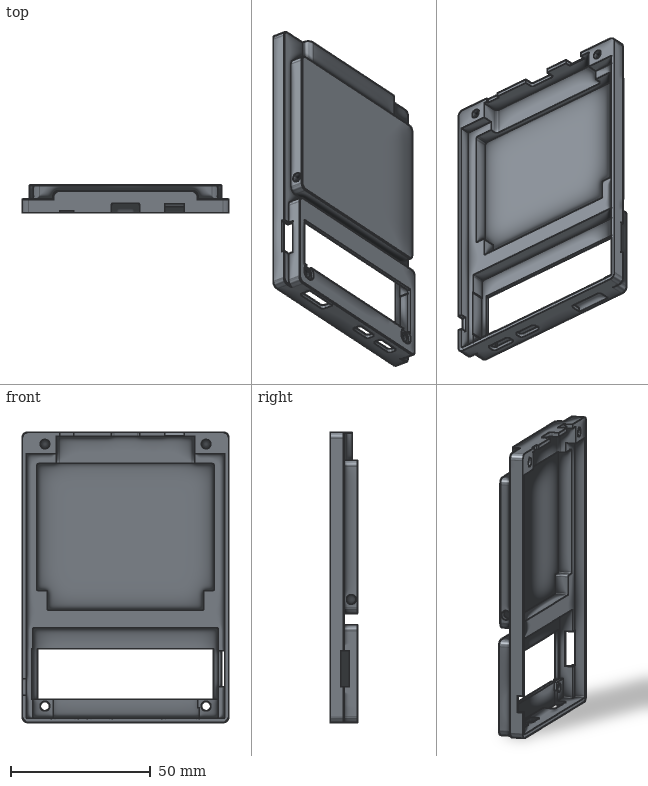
import cadquery as cq

WIDTH = 74.0
HEIGHT = 104.0
PLATE_DEPTH = 5.0
BOX_DEPTH = 10.0
BRIDGE_DEPTH = 8.0
RIM = 1.5
SKIN = 1.2
TRAY_RADIUS = 2.1
INNER_RADIUS = 1.0
OUTER_RADIUS = INNER_RADIUS + SKIN
SMALL_RADIUS = 0.5
EDGE_BREAK = 0.3
OVERLAP = 1.0

TRAY_FLOOR = PLATE_DEPTH - SKIN
BOX_FLOOR = BOX_DEPTH - SKIN
BRIDGE_FLOOR = BRIDGE_DEPTH - SKIN

UPPER_HALF_WIDTH = 31.8
UPPER_FOOT_HALF_WIDTH = 28.0
UPPER_TOP = 92.8
UPPER_STEP = 47.3
UPPER_BOTTOM = 40.25

LOWER_HALF_WIDTH = 33.2
LOWER_TOP = 33.9

CHANNEL_HALF_WIDTH = 24.8
CORNER_BLOCK_HEIGHT = 7.7

WINDOW_HALF_WIDTH = 31.45
WINDOW_BOTTOM = 8.4
WINDOW_TOP = 26.4
WINDOW_SIDE_RELIEF = 0.3

SCREW_DIAMETER = 3.3
SCREW_HALF_SPACING = 28.85
UPPER_SCREW_Z = 99.75
LOWER_SCREW_Z = 5.9
HEAD_DIAMETER = 5.6
HEAD_DEPTH = 1.0
STRIP_THICKNESS = 1.5
POST_PROUD = 1.0
STRIP_FACE = BOX_DEPTH - STRIP_THICKNESS
POST_FACE = STRIP_FACE - POST_PROUD
POST_INNER_X = 25.9
POST_RELIEF_X = 26.5
POST_RELIEF_TOP = 5.4

SIDE_HOLE_DIAMETER = 3.4
SIDE_HOLE_DEPTH = 3.0
SIDE_HOLE_Y = 7.6
SIDE_HOLE_Z = 44.1

SIDE_SLOT_BOTTOM = 12.9
SIDE_SLOT_TOP = 25.7
SIDE_SLOT_DEPTH = 6.8

LEFT_NOTCH_BOTTOM = 9.75
LEFT_NOTCH_TOP = 15.75
LEFT_NOTCH_DEPTH = 2.2

SHALLOW_NOTCH = (-23.6, -18.5, 0.8)
ROUNDED_NOTCH = (-5.05, 5.05, 3.5)
ROUNDED_NOTCH_RADIUS = 0.8
BEVELLED_NOTCH = (14.05, 21.0, 2.1)
BEVEL = 1.2

ROUNDED_SLOTS = ((-26.6, -17.0), (-13.7, -4.7))
CONNECTOR_SLOT = (13.0, POST_RELIEF_X)
ROUNDED_SLOT_BACK = 7.6
BOTTOM_SLOT_FRONT = 4.0
BOTTOM_SLOT_RADIUS = 1.2


def block(x0, x1, y0, y1, z0, z1):
    """Box between two opposite corners."""
    return cq.Workplane("XY").box(x1 - x0, y1 - y0, z1 - z0, centered=False).translate((x0, y0, z0))


def mirrored_block(half_width, y0, y1, z0, z1):
    """Box centred on X = 0."""
    return block(-half_width, half_width, y0, y1, z0, z1)


def rounded_body(half_width, y0, y1, z0, z1, radius):
    """Centred box with rounded corners in the XZ plane and chamfered back edges."""
    body = mirrored_block(half_width, y0, y1, z0, z1).edges("|Y").fillet(radius)
    return body.faces(">Y").edges().chamfer(EDGE_BREAK)


def make_outside():
    """Tray, the two raised boxes and the bridge, all solid."""
    start = PLATE_DEPTH - OVERLAP
    tray = rounded_body(WIDTH / 2, 0, PLATE_DEPTH, 0, HEIGHT, TRAY_RADIUS)
    upper_box = rounded_body(
        UPPER_HALF_WIDTH + SKIN, start, BOX_DEPTH, UPPER_BOTTOM - SKIN, UPPER_TOP + SKIN, OUTER_RADIUS
    )
    lower_box = rounded_body(
        LOWER_HALF_WIDTH + SKIN, start, BOX_DEPTH, 0, LOWER_TOP + SKIN, OUTER_RADIUS
    )
    bridge = mirrored_block(CHANNEL_HALF_WIDTH + SKIN, start, BRIDGE_DEPTH, UPPER_TOP, HEIGHT)
    bridge = bridge.edges("|Z and >Y").fillet(OUTER_RADIUS)
    bridge = bridge.faces(">Z").edges().chamfer(EDGE_BREAK)
    return tray.union(upper_box).union(lower_box).union(bridge)


def make_tray_cavity():
    """Shallow cavity inside the rim, stopping below the corner blocks."""
    top = HEIGHT - CORNER_BLOCK_HEIGHT
    cavity = mirrored_block(WIDTH / 2 - RIM, 0, TRAY_FLOOR, RIM, top)
    return cavity.edges("|Y and <Z").fillet(SMALL_RADIUS)


def make_upper_cavity():
    """Deep cavity of the upper box with its narrower foot."""
    wide = mirrored_block(UPPER_HALF_WIDTH, 0, BOX_FLOOR, UPPER_STEP, UPPER_TOP)
    wide = wide.edges("|Y and >Z").fillet(INNER_RADIUS)
    foot = mirrored_block(UPPER_FOOT_HALF_WIDTH, 0, BOX_FLOOR, UPPER_BOTTOM, UPPER_STEP + OVERLAP)
    cavity = wide.union(foot)
    return cavity.edges(
        cq.selectors.BoxSelector(
            (-WIDTH, -OVERLAP, UPPER_BOTTOM - OVERLAP), (WIDTH, BOX_DEPTH, UPPER_STEP + OVERLAP)
        )
    ).edges("|Y").fillet(SMALL_RADIUS)


def make_lower_cavity():
    """Deep cavity of the lower box, minus the bottom strip and its two screw posts."""
    cavity = mirrored_block(LOWER_HALF_WIDTH, TRAY_FLOOR, BOX_FLOOR, RIM, LOWER_TOP)
    cavity = cavity.edges("|Y").fillet(SMALL_RADIUS)
    cavity = cavity.cut(
        mirrored_block(LOWER_HALF_WIDTH, STRIP_FACE, BOX_FLOOR, RIM, WINDOW_BOTTOM)
    )
    for x0, x1 in ((-LOWER_HALF_WIDTH, -POST_INNER_X), (POST_INNER_X, LOWER_HALF_WIDTH)):
        cavity = cavity.cut(block(x0, x1, POST_FACE, BOX_FLOOR, RIM, WINDOW_BOTTOM))
    post_relief = block(POST_INNER_X, POST_RELIEF_X, POST_FACE, STRIP_FACE, RIM, POST_RELIEF_TOP)
    side_relief = block(
        -LOWER_HALF_WIDTH - WINDOW_SIDE_RELIEF, 0, TRAY_FLOOR, BOX_FLOOR, WINDOW_BOTTOM, WINDOW_TOP
    )
    return cavity.union(post_relief).union(side_relief)


def make_channel():
    """Channel inside the bridge, opening into the upper cavity."""
    channel = mirrored_block(CHANNEL_HALF_WIDTH, 0, BRIDGE_FLOOR, UPPER_TOP - OVERLAP, HEIGHT - RIM)
    return channel.edges("|Z and >Y").fillet(INNER_RADIUS)


def make_window():
    return mirrored_block(WINDOW_HALF_WIDTH, BOX_FLOOR, BOX_DEPTH, WINDOW_BOTTOM, WINDOW_TOP)


def make_side_slot():
    return block(
        LOWER_HALF_WIDTH, WIDTH / 2, TRAY_FLOOR, SIDE_SLOT_DEPTH, SIDE_SLOT_BOTTOM, SIDE_SLOT_TOP
    )


def make_left_notch():
    return block(
        -WIDTH / 2, -WIDTH / 2 + RIM, 0, LEFT_NOTCH_DEPTH, LEFT_NOTCH_BOTTOM, LEFT_NOTCH_TOP
    )


def make_top_notches():
    """Plain, rounded and bevelled notches through the top wall."""
    inside = HEIGHT - RIM
    x0, x1, depth = SHALLOW_NOTCH
    shallow = block(x0, x1, 0, depth, inside, HEIGHT)

    x0, x1, depth = ROUNDED_NOTCH
    rounded = block(x0, x1, 0, depth, inside, HEIGHT).edges("|Z and >Y").fillet(ROUNDED_NOTCH_RADIUS)

    x0, x1, depth = BEVELLED_NOTCH
    profile = [
        (0, inside),
        (depth, inside),
        (depth, HEIGHT - BEVEL),
        (depth + BEVEL, HEIGHT),
        (0, HEIGHT),
    ]
    bevelled = cq.Workplane("YZ").polyline(profile).close().extrude(x1 - x0).translate((x0, 0, 0))
    return shallow.union(rounded).union(bevelled)


def make_rounded_slot(x0, x1):
    slot = block(x0, x1, BOTTOM_SLOT_FRONT, ROUNDED_SLOT_BACK, 0, RIM)
    return slot.edges("|Z").fillet(BOTTOM_SLOT_RADIUS)


def make_connector_slot():
    """Slot with square back corners that lie against the strip below the window."""
    x0, x1 = CONNECTOR_SLOT
    slot = block(x0, x1, BOTTOM_SLOT_FRONT, STRIP_FACE, 0, RIM)
    return slot.edges("|Z and <Y").fillet(BOTTOM_SLOT_RADIUS)


def make_screw_hole(x, z, depth):
    hole = cq.Workplane("XZ").center(x, z).circle(SCREW_DIAMETER / 2)
    return hole.extrude(-depth)


def make_head_recess(x, z):
    """Round screw head recess in the back of a lower post; it breaks into the window."""
    recess = cq.Workplane("XZ", origin=(x, BOX_DEPTH, z)).circle(HEAD_DIAMETER / 2)
    return recess.extrude(HEAD_DEPTH)


def make_side_hole(side):
    """Blind round recess in the left (-1) or right (+1) side of the upper box."""
    face_x = side * (UPPER_HALF_WIDTH + SKIN)
    hole = cq.Workplane("YZ", origin=(face_x, SIDE_HOLE_Y, SIDE_HOLE_Z)).circle(SIDE_HOLE_DIAMETER / 2)
    return hole.extrude(-side * SIDE_HOLE_DEPTH)


result = make_outside()
result = result.cut(make_tray_cavity())
result = result.cut(make_upper_cavity())
result = result.cut(make_lower_cavity())
result = result.cut(make_channel())
result = result.cut(make_window())
result = result.cut(make_side_slot())
result = result.cut(make_left_notch())
result = result.cut(make_top_notches())
result = result.cut(make_connector_slot())
for slot_start, slot_end in ROUNDED_SLOTS:
    result = result.cut(make_rounded_slot(slot_start, slot_end))
for side in (-1, 1):
    screw_x = side * SCREW_HALF_SPACING
    result = result.cut(make_screw_hole(screw_x, UPPER_SCREW_Z, TRAY_FLOOR))
    result = result.cut(make_screw_hole(screw_x, LOWER_SCREW_Z, BOX_DEPTH))
    result = result.cut(make_head_recess(screw_x, LOWER_SCREW_Z))
    result = result.cut(make_side_hole(side))